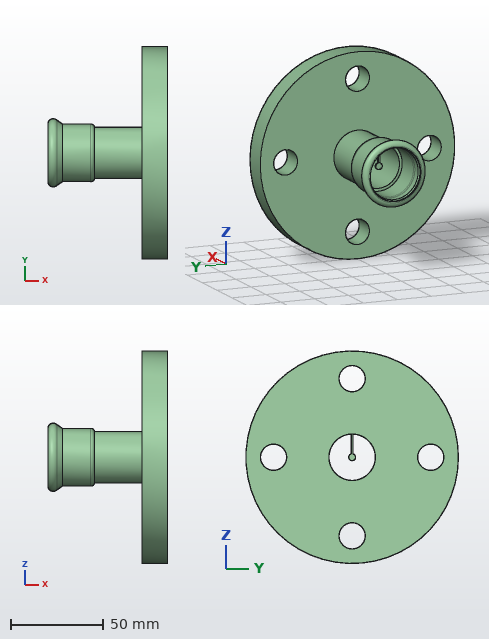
import cadquery as cq
import math

LENGTH = 64.7
FLANGE_DIAMETER = 115.0
FLANGE_THICKNESS = 13.9
FLANGE_FRONT = LENGTH - FLANGE_THICKNESS
BOLT_HOLE_DIAMETER = 14.0
BOLT_CIRCLE_DIAMETER = 85.0
BOLT_COUNT = 4

TUBE_RADIUS = 28.0 / 2
BORE_RADIUS = 25.0 / 2
SOCKET_RADIUS = 31.3 / 2
SOCKET_BORE_RADIUS = 28.2 / 2
SHOULDER_START = 23.0
SHOULDER_END = 25.3

BEAD_RADIUS = 18.5
BEAD_ROUND = 2.9
BEAD_CENTER_RADIUS = BEAD_RADIUS - BEAD_ROUND
BEAD_FLANK_ANGLE = math.radians(45)
BEAD_END = 7.9
MOUTH_RADIUS = 28.8 / 2
MOUTH_DEPTH = 6.8
MOUTH_TAPER_END = 7.8
LIP_RADIUS = 15.0
LIP_DEPTH = 1.2
LIP_TAPER_END = 2.2

MARKER_DISC_DIAMETER = 3.8
MARKER_BAR_WIDTH = 1.0
MARKER_REACH = 12.8
MARKER_THICKNESS = 1.0


def make_fitting():
    """Revolved tube with bead, socket and flange, drilled for the bolts."""
    flank_x = BEAD_ROUND * (1 + math.sin(BEAD_FLANK_ANGLE))
    flank_radius = BEAD_CENTER_RADIUS + BEAD_ROUND * math.cos(BEAD_FLANK_ANGLE)
    shoulder_length = SHOULDER_END - SHOULDER_START
    shoulder_drop = SOCKET_RADIUS - TUBE_RADIUS
    shoulder_mid = (
        SHOULDER_START + shoulder_length * math.sin(math.pi / 4),
        TUBE_RADIUS + shoulder_drop * math.cos(math.pi / 4),
    )
    body = (
        cq.Workplane("XY")
        .moveTo(0, LIP_RADIUS)
        .lineTo(0, BEAD_CENTER_RADIUS)
        .threePointArc((BEAD_ROUND, BEAD_RADIUS), (flank_x, flank_radius))
        .lineTo(BEAD_END, SOCKET_RADIUS)
        .lineTo(SHOULDER_START, SOCKET_RADIUS)
        .threePointArc(shoulder_mid, (SHOULDER_END, TUBE_RADIUS))
        .lineTo(FLANGE_FRONT, TUBE_RADIUS)
        .lineTo(FLANGE_FRONT, FLANGE_DIAMETER / 2)
        .lineTo(LENGTH, FLANGE_DIAMETER / 2)
        .lineTo(LENGTH, BORE_RADIUS)
        .lineTo(SHOULDER_START, BORE_RADIUS)
        .lineTo(SHOULDER_START, SOCKET_BORE_RADIUS)
        .lineTo(MOUTH_TAPER_END, SOCKET_BORE_RADIUS)
        .lineTo(MOUTH_DEPTH, MOUTH_RADIUS)
        .lineTo(LIP_TAPER_END, MOUTH_RADIUS)
        .lineTo(LIP_DEPTH, LIP_RADIUS)
        .close()
        .revolve(360, (0, 0, 0), (1, 0, 0))
    )
    bolt_holes = (
        cq.Workplane("YZ", origin=(FLANGE_FRONT, 0, 0))
        .polarArray(BOLT_CIRCLE_DIAMETER / 2, 0, 360, BOLT_COUNT)
        .circle(BOLT_HOLE_DIAMETER / 2)
        .extrude(FLANGE_THICKNESS)
    )
    return body.cut(bolt_holes)


def make_marker():
    """Disc on the axis, with a bar reaching up onto the step."""
    plane = cq.Workplane("YZ", origin=(SHOULDER_START - MARKER_THICKNESS, 0, 0))
    disc = plane.circle(MARKER_DISC_DIAMETER / 2).extrude(MARKER_THICKNESS)
    bar = (
        plane.center(0, MARKER_REACH / 2)
        .rect(MARKER_BAR_WIDTH, MARKER_REACH)
        .extrude(MARKER_THICKNESS)
    )
    return disc.union(bar)


fitting = make_fitting()
marker = make_marker()

result = cq.Compound.makeCompound([fitting.val(), marker.val()])